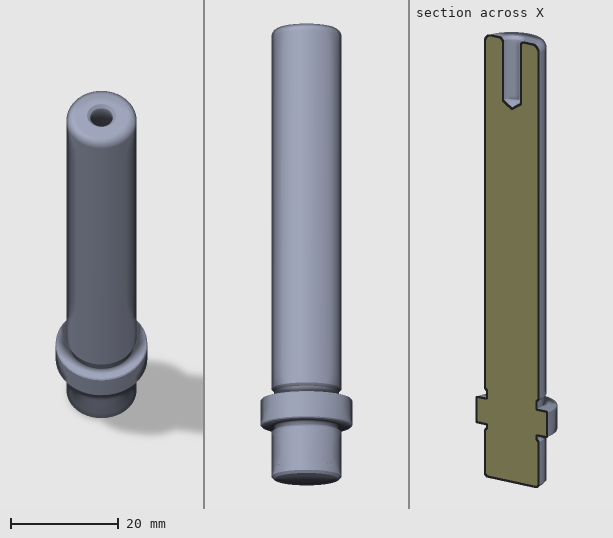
import cadquery as cq
import math

total_length = 85.0
flange_bottom = 10.0
flange_thickness = 5.0
flange_top = flange_bottom + flange_thickness

shaft_radius = 13.0 / 2
flange_radius = 17.0 / 2
neck_radius = 12.0 / 2

top_fillet = 1.5
flange_chamfer = 0.2
neck_fillet = 0.1
neck_shoulder = shaft_radius - neck_radius

upper_groove_width = 2.0
lower_groove_width = 1.2

lead_in_length = 2.0
lead_in_radius = 12.99 / 2
bottom_chamfer = 0.5

hole_radius = 4.2 / 2
hole_mouth_radius = 5.3 / 2
hole_depth = 12.0
drill_point_angle = 118.0


def turned_body():
    """Solid of revolution: spigot, flange and long guide shaft."""
    lower_groove_bottom = flange_bottom - lower_groove_width
    upper_groove_top = flange_top + upper_groove_width
    profile = (
        cq.Workplane("XZ")
        .lineTo(lead_in_radius - bottom_chamfer, 0)
        .lineTo(lead_in_radius, bottom_chamfer)
        .lineTo(lead_in_radius, lead_in_length)
        .lineTo(shaft_radius, lead_in_length)
        .lineTo(shaft_radius, lower_groove_bottom)
        .lineTo(neck_radius, lower_groove_bottom + neck_shoulder)
        .lineTo(neck_radius, flange_bottom - neck_fillet)
        .radiusArc((neck_radius + neck_fillet, flange_bottom), neck_fillet)
        .lineTo(flange_radius - flange_chamfer, flange_bottom)
        .lineTo(flange_radius, flange_bottom + flange_chamfer)
        .lineTo(flange_radius, flange_top - flange_chamfer)
        .lineTo(flange_radius - flange_chamfer, flange_top)
        .lineTo(neck_radius + neck_fillet, flange_top)
        .radiusArc((neck_radius, flange_top + neck_fillet), neck_fillet)
        .lineTo(neck_radius, upper_groove_top - neck_shoulder)
        .lineTo(shaft_radius, upper_groove_top)
        .lineTo(shaft_radius, total_length)
        .lineTo(0, total_length)
        .close()
    )
    body = profile.revolve(360, (0, 0, 0), (0, 1, 0))
    return body.faces(">Z").edges().fillet(top_fillet)


def drilled_hole():
    """Cutter for the countersunk blind hole with its conical drill point."""
    countersink_depth = hole_mouth_radius - hole_radius
    point_length = hole_radius / math.tan(math.radians(drill_point_angle / 2))
    hole_floor = total_length - hole_depth
    profile = (
        cq.Workplane("XZ")
        .moveTo(0, total_length)
        .lineTo(hole_mouth_radius, total_length)
        .lineTo(hole_radius, total_length - countersink_depth)
        .lineTo(hole_radius, hole_floor)
        .lineTo(0, hole_floor - point_length)
        .close()
    )
    return profile.revolve(360, (0, 0, 0), (0, 1, 0))


result = turned_body().cut(drilled_hole())